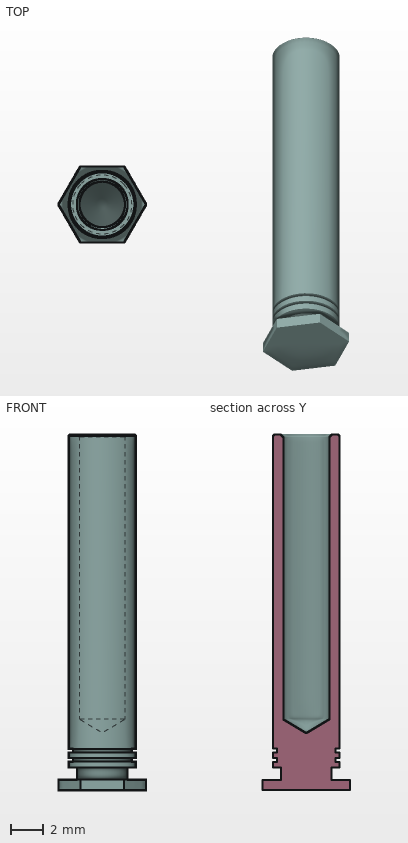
import cadquery as cq
import math

total_height = 22.23
barrel_diameter = 4.2
rim_chamfer = 0.1

hex_across_flats = 4.75
hex_height = 0.67

neck_diameter = 3.18
barrel_bottom = 1.42

groove_diameter = 3.7
groove_bottoms = (1.8, 2.38)
groove_width = 0.22

bore_diameter = 2.85
mouth_diameter = 3.18
bore_depth = 17.78
cone_angle = 118.0


def make_foot():
    across_corners = hex_across_flats / math.cos(math.radians(30))
    return cq.Workplane("XY").polygon(6, across_corners).extrude(hex_height)


def make_cylinder(diameter, bottom, top):
    return cq.Workplane("XY").workplane(offset=bottom).circle(diameter / 2).extrude(top - bottom)


def make_barrel():
    barrel = make_cylinder(barrel_diameter, barrel_bottom, total_height)
    barrel = barrel.faces(">Z").edges().chamfer(rim_chamfer)
    for bottom in groove_bottoms:
        top = bottom + groove_width
        core = make_cylinder(groove_diameter, bottom, top)
        ring = make_cylinder(barrel_diameter + 0.22, bottom, top).cut(core)
        barrel = barrel.cut(ring)
    return barrel


def make_bore():
    bore_radius = bore_diameter / 2
    mouth_radius = mouth_diameter / 2
    mouth_depth = mouth_radius - bore_radius
    floor = total_height - bore_depth
    cone_depth = bore_radius / math.tan(math.radians(cone_angle / 2))
    profile = [
        (0, floor - cone_depth),
        (bore_radius, floor),
        (bore_radius, total_height - mouth_depth),
        (mouth_radius, total_height),
        (0, total_height),
    ]
    return cq.Workplane("XZ").polyline(profile).close().revolve(360, (0, 0, 0), (0, 1, 0))


neck = make_cylinder(neck_diameter, hex_height, barrel_bottom)
result = make_foot().union(neck).union(make_barrel()).cut(make_bore())